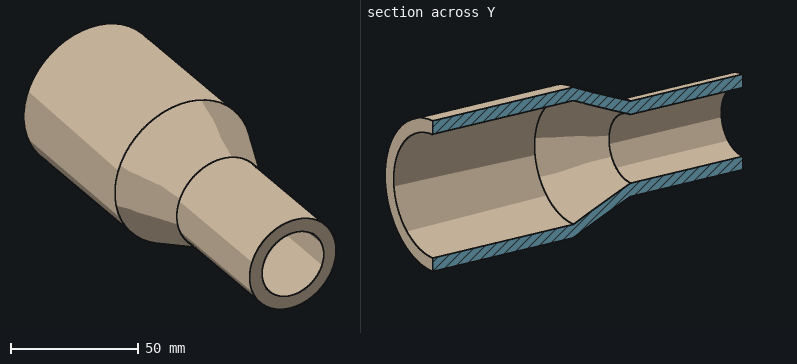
import cadquery as cq

total_length = 152.0
wide_length = 69.0
cone_length = 28.0
wide_outer_diameter = 63.0
wide_bore_diameter = 51.4
narrow_outer_diameter = 40.0
narrow_bore_diameter = 28.5

cone_end = wide_length + cone_length


def stepped_solid(wide_diameter, narrow_diameter):
    """Wide cylinder, cone and narrow cylinder revolved about the X axis."""
    wide_radius = wide_diameter / 2
    narrow_radius = narrow_diameter / 2
    half_section = (
        cq.Workplane("XY")
        .moveTo(0, 0)
        .lineTo(0, wide_radius)
        .lineTo(wide_length, wide_radius)
        .lineTo(cone_end, narrow_radius)
        .lineTo(total_length, narrow_radius)
        .lineTo(total_length, 0)
        .close()
    )
    return half_section.revolve(360, (0, 0, 0), (1, 0, 0))


outer_body = stepped_solid(wide_outer_diameter, narrow_outer_diameter)
bore = stepped_solid(wide_bore_diameter, narrow_bore_diameter)

result = outer_body.cut(bore)